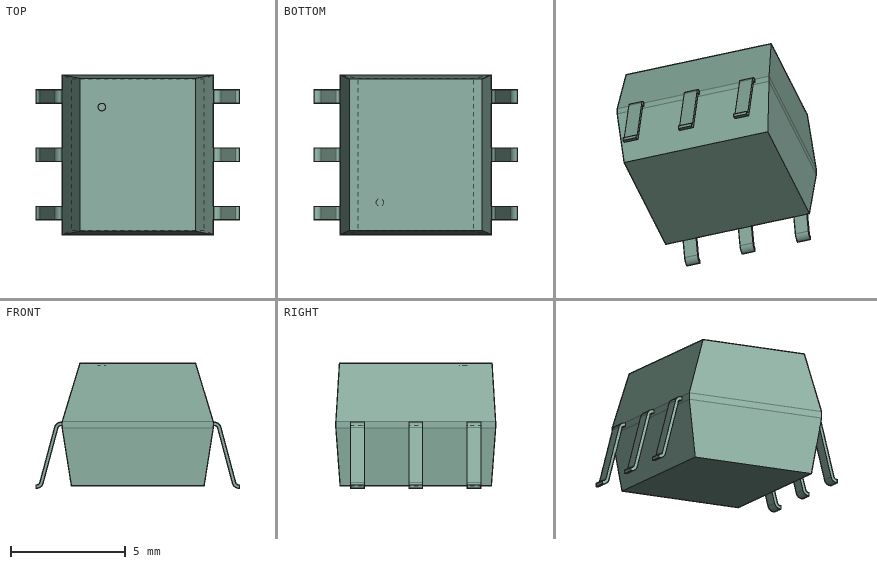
import cadquery as cq
import math

overall_length = 8.89
standoff = 0.11

band_size = (6.6, 6.98)
top_size = (5.05, 6.67)
bottom_size = (5.8, 6.605)
lower_height = 2.52
band_height = 0.29
upper_height = 2.54

band_bottom = standoff + lower_height
band_top = band_bottom + band_height
housing_top = band_top + upper_height

lead_width = 0.6
lead_thickness = 0.15
lead_pitch = 2.54
leads_per_side = 3
lead_drop = 0.03
leg_angle = math.radians(75.0)
foot_flat = 0.03
inner_bend_radius = 0.15
bend_radius = inner_bend_radius + lead_thickness / 2

mark_diameter = 0.33
mark_depth = 0.09
mark_position = (-1.565, 2.08)


def tapered_block(lower_size, upper_size, bottom, height):
    """Block whose rectangular section changes evenly from lower_size to upper_size."""
    return (
        cq.Workplane("XY", origin=(0, 0, bottom))
        .rect(*lower_size)
        .workplane(offset=height)
        .rect(*upper_size)
        .loft(ruled=True)
    )


def make_mark():
    """Disc that marks pin 1."""
    mark_bottom = (*mark_position, housing_top - mark_depth)
    return cq.Workplane("XY", origin=mark_bottom).circle(mark_diameter / 2).extrude(mark_depth)


def make_housing(mark):
    """Tapered housing with a recess that fits the pin 1 mark."""
    lower = tapered_block(bottom_size, band_size, standoff, lower_height)
    band = tapered_block(band_size, band_size, band_bottom, band_height)
    upper = tapered_block(band_size, top_size, band_top, upper_height)
    return lower.union(band).union(upper).cut(mark)


def make_lead(y):
    """Lead on the +X side: short stub, bend down, sloping leg, bend out to a level foot."""
    start = (band_size[0] / 2, band_top - lead_drop - lead_thickness / 2)
    tip = (overall_length / 2, lead_thickness / 2)
    bend_run = bend_radius * math.sin(leg_angle)
    bend_drop = bend_radius * (1 - math.cos(leg_angle))
    foot_start = (tip[0] - foot_flat, tip[1])
    leg_bottom = (foot_start[0] - bend_run, tip[1] + bend_drop)
    leg_top_z = start[1] - bend_drop
    leg_run = (leg_top_z - leg_bottom[1]) / math.tan(leg_angle)
    leg_top = (leg_bottom[0] - leg_run, leg_top_z)
    stub_end = (leg_top[0] - bend_run, start[1])

    path = (
        cq.Workplane("XZ", origin=(0, y, 0))
        .moveTo(*start)
        .lineTo(*stub_end)
        .tangentArcPoint(leg_top, relative=False)
        .lineTo(*leg_bottom)
        .tangentArcPoint(foot_start, relative=False)
        .lineTo(*tip)
    )
    section = cq.Workplane("YZ", origin=(start[0], y, start[1])).rect(lead_width, lead_thickness)
    return section.sweep(path)


mark = make_mark()
housing = make_housing(mark)

leads = []
for index in range(leads_per_side):
    lead_y = (index - (leads_per_side - 1) / 2) * lead_pitch
    right_lead = make_lead(lead_y)
    left_lead = right_lead.mirror("YZ")
    leads += [right_lead.val(), left_lead.val()]

result = cq.Compound.makeCompound([housing.val(), mark.val(), *leads])